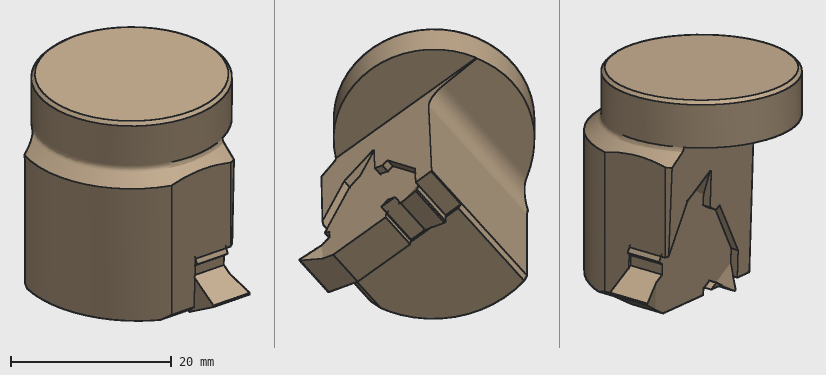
import cadquery as cq
import math

HEAD_RADIUS = 12.5
HEAD_HEIGHT = 6.15
HEAD_CHAMFER = 0.45
NECK_RADIUS = 12.8
NECK_DEPTH = 6.77
SHANK_RADIUS = 14.62
SHOULDER_DEPTH = 8.22
SHANK_END = 30.77
REACH = 46.15

TURN = 15.0
LEAN = 2.0
END_FACE_DEPTH = 27.32
FRONT_FLAT = 13.85
WALL = -3.48
BACK = 4.83
END_CHAMFER = 0.55
END_STEP = 0.45
WALL_FILLET = 5.7 / 2
FILLET_HEIGHT = 17.57
RELIEF_SLOPE = 8.0

TEETH = 3
INSERT_U = 7.4
INSERT_W = 5.85
INRADIUS = 6.35
SEAT = -1.15
CORE_BACK = 3.75
RAKE_TIP = 4.65
RAKE = 17.0
TIP_U = 10.25
TIP_W = -3.57
TIP_WIDTH = 0.25
FLANK = 30.0
VALLEY_U = 6.1
VALLEY_TOP = 0.3
LAND_END = 0.85


def tool_plane():
    turn = math.radians(TURN)
    lean = math.radians(LEAN)
    normal = (math.sin(lean) * math.sin(turn), math.sin(lean) * math.cos(turn), math.cos(lean))
    return cq.Plane((0, 0, -END_FACE_DEPTH), (math.cos(turn), -math.sin(turn), 0), normal)


def place(shape):
    """Move a shape modelled in u, v, w into the part."""
    return cq.Workplane(shape.val().located(cq.Location(tool_plane())))


def u_w_sketch(v):
    """Sketch plane at v, on which positive extrusions run towards the front."""
    return cq.Workplane("XZ", origin=(0, v, 0))


def turned_blank():
    return (
        cq.Workplane("XZ")
        .moveTo(0, 0)
        .lineTo(HEAD_RADIUS - HEAD_CHAMFER, 0)
        .lineTo(HEAD_RADIUS, -HEAD_CHAMFER)
        .lineTo(HEAD_RADIUS, -HEAD_HEIGHT)
        .tangentArcPoint((NECK_RADIUS, -NECK_DEPTH), relative=False)
        .lineTo(SHANK_RADIUS, -SHOULDER_DEPTH)
        .lineTo(SHANK_RADIUS, -SHANK_END)
        .lineTo(0, -SHANK_END)
        .close()
        .revolve(360, (0, 0, 0), (0, 1, 0))
    )


def shank_envelope():
    """Prism between wall and front flat, with the end face and the filleted head relief."""
    slope = math.radians(RELIEF_SLOPE)
    centre_u = WALL - WALL_FILLET
    mid = (math.pi / 2 - slope) / 2
    run_out = (centre_u + WALL_FILLET * math.sin(slope), FILLET_HEIGHT + WALL_FILLET * math.cos(slope))
    fillet_mid = (centre_u + WALL_FILLET * math.cos(mid), FILLET_HEIGHT + WALL_FILLET * math.sin(mid))
    relief_end = (-REACH, run_out[1] + (run_out[0] + REACH) * math.tan(slope))
    profile = (
        u_w_sketch(BACK)
        .moveTo(WALL + END_CHAMFER, 0)
        .lineTo(FRONT_FLAT - END_CHAMFER, 0)
        .lineTo(FRONT_FLAT, END_CHAMFER)
        .lineTo(FRONT_FLAT, REACH)
        .lineTo(-REACH, REACH)
        .lineTo(*relief_end)
        .lineTo(*run_out)
        .threePointArc(fillet_mid, (WALL, FILLET_HEIGHT))
        .lineTo(WALL, END_CHAMFER)
        .close()
    )
    return place(profile.extrude(REACH))


def head_envelope():
    """Everything above the head underside, limited by the sloping relief."""
    slope = math.radians(RELIEF_SLOPE)
    level = FILLET_HEIGHT + WALL_FILLET / math.cos(slope)
    centre_u = WALL - WALL_FILLET
    rise = math.tan(slope)
    relief = (
        u_w_sketch(REACH)
        .polyline([
            (-REACH, level + rise * (REACH + centre_u)),
            (centre_u, level),
            (REACH, level),
            (REACH, REACH),
            (-REACH, REACH),
        ])
        .close()
        .extrude(2 * REACH)
    )
    above = cq.Workplane("XY", origin=(0, 0, -HEAD_HEIGHT)).rect(REACH, REACH).extrude(HEAD_HEIGHT)
    return above.intersect(place(relief))


def turn_about_centre(point, angle):
    c = math.cos(math.radians(angle))
    s = math.sin(math.radians(angle))
    return (INSERT_U + c * point[0] - s * point[1], INSERT_W + s * point[0] + c * point[1])


def insert_outline(v):
    """Closed outline: per tooth the lower flank, tip, upper flank, notch and straight side."""
    flank = math.tan(math.radians(FLANK))
    low_tip = TIP_W - TIP_WIDTH / 2
    high_tip = TIP_W + TIP_WIDTH / 2
    side_normal = math.radians(360 / TEETH - 90)
    tooth = [
        (TIP_U - (low_tip + INRADIUS) / flank, -INRADIUS),
        (TIP_U, low_tip),
        (TIP_U, high_tip),
        (VALLEY_U, high_tip + (TIP_U - VALLEY_U) * flank),
        (VALLEY_U, VALLEY_TOP),
        ((INRADIUS - LAND_END * math.sin(side_normal)) / math.cos(side_normal), LAND_END),
    ]
    points = []
    for i in range(TEETH):
        points += [turn_about_centre(p, i * 360 / TEETH) for p in tooth]
    return u_w_sketch(v).polyline(points).close()


def rake_wedge(angle):
    """Wedge that rises behind the core towards a tooth tip."""
    run = (RAKE_TIP - CORE_BACK) / math.tan(math.radians(RAKE))
    wedge = (
        cq.Workplane("XY", origin=(INSERT_U, 0, INSERT_W - INRADIUS))
        .polyline([(TIP_U - run, SEAT), (TIP_U - run, CORE_BACK), (TIP_U, RAKE_TIP), (TIP_U, SEAT)])
        .close()
        .extrude(INRADIUS)
    )
    return wedge.rotate((INSERT_U, 0, INSERT_W), (INSERT_U, 1, INSERT_W), -angle)


def make_insert():
    core = insert_outline(CORE_BACK).extrude(CORE_BACK - SEAT)
    full = insert_outline(RAKE_TIP).extrude(RAKE_TIP - SEAT)
    for i in range(TEETH):
        core = core.union(full.intersect(rake_wedge(i * 360 / TEETH)))
    return place(core)


def end_step():
    """Shallow step across the end face, from the insert seat to the back."""
    step = cq.Workplane("XY").box(2 * REACH, REACH, END_STEP, centered=(True, False, False))
    return place(step.translate((0, SEAT, 0)))


def flat_step():
    """Clears the front flat behind the seat, level with the notch above the cutting tooth."""
    step = cq.Workplane("XY").box(REACH, REACH, INSERT_W + LAND_END, centered=False)
    return place(step.translate((INSERT_U + VALLEY_U, SEAT, 0)))


def make_holder():
    blank = turned_blank()
    shank = blank.intersect(shank_envelope())
    head = blank.intersect(head_envelope())
    pocket = place(insert_outline(REACH).extrude(REACH - SEAT))
    return shank.union(head).cut(end_step()).cut(flat_step()).cut(pocket)


holder = make_holder()
insert = make_insert()
result = cq.Compound.makeCompound([holder.val(), insert.val()])